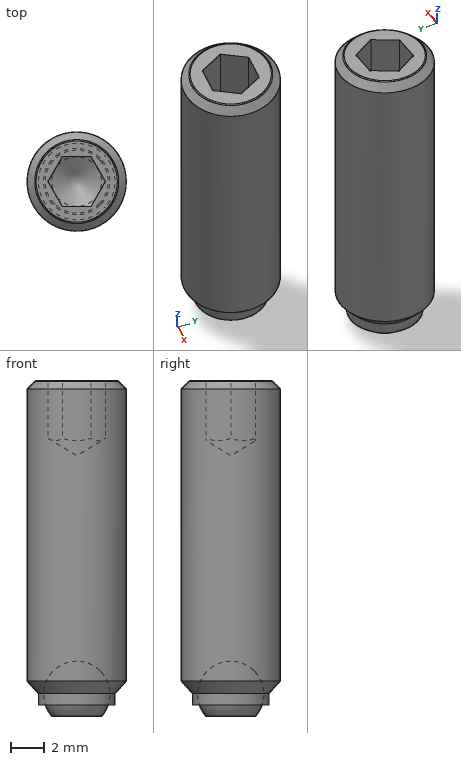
import cadquery as cq
import math

total_length = 20.3
thread_radius = 3.0

top_chamfer_height = 0.5
top_chamfer_radius = 2.54
rim_bevel_width = 0.08
rim_bevel_height = 0.05

ball_exposure = 0.7
collar_radius = 2.31
collar_height = 0.7
lower_cone_height = 0.75

socket_across_flats = 3.0
socket_depth = 3.5
socket_tip_angle = 118.0

ball_radius = 2.0
ball_flat_radius = 1.5

collar_top = ball_exposure + collar_height
socket_corner_radius = socket_across_flats / math.sqrt(3)
socket_tip_height = socket_corner_radius / math.tan(math.radians(socket_tip_angle / 2))
ball_center_z = math.sqrt(ball_radius**2 - ball_flat_radius**2)


def make_ball():
    """Sphere cut off by the flat at z = 0."""
    profile = (
        cq.Workplane("XZ")
        .lineTo(ball_flat_radius, 0)
        .threePointArc((ball_radius, ball_center_z), (0, ball_center_z + ball_radius))
        .close()
    )
    return profile.revolve(360, (0, 0, 0), (0, 1, 0))


def make_screw_blank():
    """Turned outside of the screw, without the socket and ball seat."""
    profile = cq.Workplane("XZ").polyline([
        (0, ball_exposure),
        (collar_radius, ball_exposure),
        (collar_radius, collar_top),
        (thread_radius, collar_top + lower_cone_height),
        (thread_radius, total_length - top_chamfer_height),
        (top_chamfer_radius, total_length - rim_bevel_height),
        (top_chamfer_radius - rim_bevel_width, total_length),
        (0, total_length),
    ]).close()
    return profile.revolve(360, (0, 0, 0), (0, 1, 0))


def make_socket():
    """Hexagonal recess, corners on the X axis, ending in a drill point."""
    socket_floor = total_length - socket_depth
    hexagon = (
        cq.Workplane("XY", origin=(0, 0, socket_floor))
        .polygon(6, 2 * socket_corner_radius)
        .extrude(socket_depth)
    )
    drill_point = (
        cq.Workplane("XZ")
        .polyline([
            (0, socket_floor - socket_tip_height),
            (socket_corner_radius, socket_floor),
            (0, socket_floor),
        ])
        .close()
        .revolve(360, (0, 0, 0), (0, 1, 0))
    )
    hexagon_column = (
        cq.Workplane("XY", origin=(0, 0, socket_floor - socket_tip_height))
        .polygon(6, 2 * socket_corner_radius)
        .extrude(socket_tip_height)
    )
    return hexagon.union(drill_point.intersect(hexagon_column))


ball = make_ball()
screw = make_screw_blank().cut(make_socket()).cut(ball)

result = cq.Compound.makeCompound([screw.val(), ball.val()])